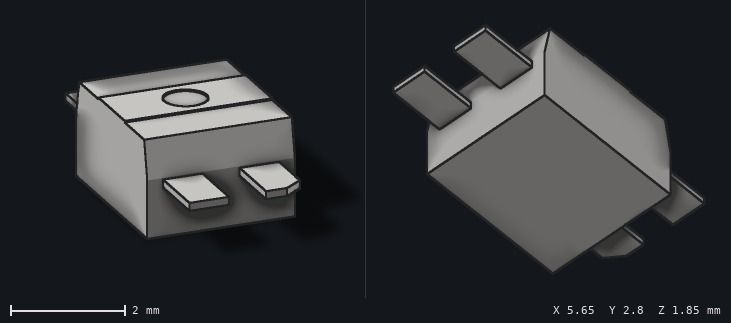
import cadquery as cq

total_length = 5.65
total_height = 1.85

body_length = 3.25
body_width = 2.8
straight_wall_height = 1.1
wall_inset = 0.14

strip_length = 1.2
strip_height = 0.03
body_height = total_height - strip_height

recess_diameter = 0.8
recess_depth = strip_height

lead_width = 0.75
lead_thickness = 0.15
lead_pitch = 1.45
lead_bottom = 0.925

corner_cut_x = 0.25
corner_cut_y = 0.35


def make_body():
    half_length = body_length / 2
    half_top = half_length - wall_inset
    return (
        cq.Workplane("XZ")
        .moveTo(-half_length, 0)
        .lineTo(half_length, 0)
        .lineTo(half_length, straight_wall_height)
        .lineTo(half_top, body_height)
        .lineTo(-half_top, body_height)
        .lineTo(-half_length, straight_wall_height)
        .close()
        .extrude(body_width / 2, both=True)
    )


def make_strip():
    return (
        cq.Workplane("XY")
        .workplane(offset=body_height)
        .rect(strip_length, body_width)
        .extrude(strip_height)
    )


def make_recess():
    return (
        cq.Workplane("XY")
        .workplane(offset=total_height - recess_depth)
        .circle(recess_diameter / 2)
        .extrude(recess_depth)
    )


def make_lead_bar(y_center):
    """Flat bar through the body, forming the two opposite leads of one row."""
    return (
        cq.Workplane("XY")
        .workplane(offset=lead_bottom)
        .center(0, y_center)
        .rect(total_length, lead_width)
        .extrude(lead_thickness)
    )


def make_corner_cut():
    """Triangular wedge at the +X, +Y corner of the leads."""
    x_end = total_length / 2
    y_edge = (lead_pitch + lead_width) / 2
    return (
        cq.Workplane("XY")
        .workplane(offset=lead_bottom)
        .moveTo(x_end, y_edge)
        .lineTo(x_end - corner_cut_x, y_edge)
        .lineTo(x_end, y_edge - corner_cut_y)
        .close()
        .extrude(lead_thickness)
    )


result = make_body().union(make_strip()).cut(make_recess())
for side in (-1, 1):
    result = result.union(make_lead_bar(side * lead_pitch / 2))
result = result.cut(make_corner_cut())